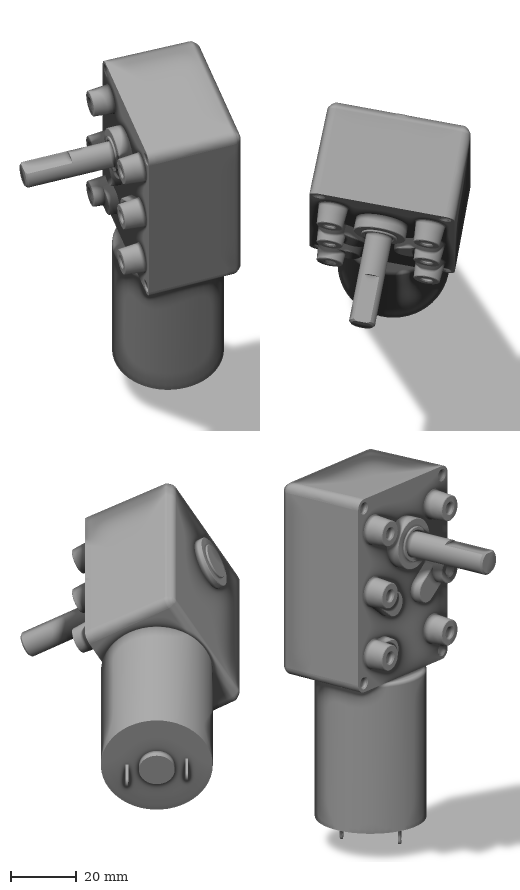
import cadquery as cq
import math


CASE_WIDTH = 45.0
CASE_HEIGHT = 62.0
CASE_DEPTH = 30.1
CASE_CORNER = 3.0
CASE_RIM_DEPTH = 2.1
CASE_DRAFT = 0.4
REAR_CHAMFER_DEPTH = 2.1
REAR_CHAMFER_INSET = 1.7
REAR_EDGE_ROUND = 2.1
REAR_WALL_ROUND = 1.4
CASE_TOP = 18.8
CASE_BOTTOM = CASE_TOP - CASE_HEIGHT
CASE_MID_Z = (CASE_TOP + CASE_BOTTOM) / 2

SCREW_INSET = 3.0
SCREW_COUNTERSINK_DIAMETER = 3.9
SCREW_MOUTH_DIAMETER = 3.2
SCREW_END_DIAMETER = 2.5
SCREW_DEPTH = 5.9

COUNTERSINK_DEPTH = 0.4

POST_BASE_DIAMETER = 9.1
POST_TIP_DIAMETER = 8.0
POST_HEIGHT = 6.5
POST_SKIRT = 0.2
POST_HOLE_DIAMETER = 3.4
POST_HOLE_DEPTH = POST_HEIGHT
POST_COUNTERSINK_DIAMETER = 4.2
POST_X = 15.0
POST_PITCH_Z = 20.0
POST_TOP_Z = 7.8
POST_ROWS_Z = [POST_TOP_Z - row * POST_PITCH_Z for row in range(3)]

EDGE_BREAK = 0.18

RIB_HEIGHT = 3.2
RIB_BASE_DIAMETER = 8.5
RIB_TIP_DIAMETER = 7.8
SLANTED_RIB_RUN = 6.8
SLANTED_RIB_DROP = 5.2
LEVEL_RIB_RUN = 4.8

BOSS_DIAMETER = 16.0
FRONT_BOSS_HEIGHT = 4.2
REAR_BOSS_HEIGHT = 2.4
COLLAR_DIAMETER = 11.0
COLLAR_HEIGHT = 0.6
COLLAR_MOUTH_DIAMETER = 9.1

SHAFT_DIAMETER = 8.0
SHAFT_REACH = 32.9
SHAFT_CHAMFER = 0.6
FLAT_LENGTH = 15.0
FLAT_DEPTH = 1.0

MOTOR_DIAMETER = 34.0
MOTOR_LENGTH = 47.9
MOTOR_TOP_ROUND = 1.1
MOTOR_X = 1.1
MOTOR_Y = CASE_DEPTH - MOTOR_DIAMETER / 2
MOTOR_BOTTOM = CASE_BOTTOM - MOTOR_LENGTH
END_BOSS_DIAMETER = 10.9
END_BOSS_HEIGHT = 2.5

TERMINAL_LENGTH = 8.1
TERMINAL_WIDTH = 2.8
TERMINAL_THICKNESS = 0.8
TERMINAL_HOLE_DIAMETER = 1.3
TERMINAL_HOLE_RISE = 1.7
TERMINAL_OFFSET_X = 3.4
TERMINAL_OFFSET_Y = 8.5
TERMINAL_TURN = 30


def round_bar(x, y, z, start_diameter, end_diameter, length, direction=-1):
    """Round bar along Y, straight or tapered, that starts at the given point."""
    profile = [(0, 0), (start_diameter / 2, 0), (end_diameter / 2, length), (0, length)]
    bar = cq.Workplane("XY").polyline(profile).close().revolve(360, (0, 0), (0, 1))
    if direction < 0:
        bar = bar.mirror("XZ")
    return bar.translate((x, y, z))


def make_case():
    """Box with a straight rim, drafted walls, round corners and a softened chamfer at the rear."""
    drafted_depth = CASE_DEPTH - CASE_RIM_DEPTH
    taper = math.degrees(math.atan(CASE_DRAFT / drafted_depth))
    outline = cq.Sketch().rect(CASE_WIDTH, CASE_HEIGHT).vertices().fillet(CASE_CORNER)
    rim = (
        cq.Workplane("XZ", origin=(0, 0, CASE_MID_Z))
        .placeSketch(outline)
        .extrude(-CASE_RIM_DEPTH)
    )
    walls = (
        cq.Workplane("XZ", origin=(0, CASE_RIM_DEPTH, CASE_MID_Z))
        .placeSketch(outline)
        .extrude(-drafted_depth, taper=taper)
    )
    rear_edges = walls.faces(">Y").edges().vals()
    walls = cq.Workplane(walls.val().chamfer(REAR_CHAMFER_DEPTH, REAR_CHAMFER_INSET, rear_edges))
    wall_edge_y = CASE_DEPTH - REAR_CHAMFER_DEPTH
    slab_half = REAR_CHAMFER_DEPTH / 4
    wall_edge_zone = cq.selectors.BoxSelector(
        (-CASE_WIDTH, wall_edge_y - slab_half, -CASE_HEIGHT),
        (CASE_WIDTH, wall_edge_y + slab_half, CASE_HEIGHT),
    )
    walls = walls.edges(wall_edge_zone).fillet(REAR_WALL_ROUND)
    walls = walls.faces(">Y").edges().fillet(REAR_EDGE_ROUND)
    return rim.union(walls)


def cut_hole(case, x, y, z, countersink_diameter, mouth_diameter, end_diameter, depth):
    """Blind hole along +Y, straight or tapered, with a shallow countersink at its mouth."""
    hole = round_bar(x, y, z, mouth_diameter, end_diameter, depth, direction=1)
    countersink = round_bar(x, y, z, countersink_diameter, mouth_diameter, COUNTERSINK_DEPTH, direction=1)
    return case.cut(hole).cut(countersink)


def cut_screw_holes(case):
    hole_x = CASE_WIDTH / 2 - SCREW_INSET
    for x in (-hole_x, hole_x):
        for z in (CASE_BOTTOM + SCREW_INSET, CASE_TOP - SCREW_INSET):
            case = cut_hole(
                case, x, 0, z,
                SCREW_COUNTERSINK_DIAMETER, SCREW_MOUTH_DIAMETER, SCREW_END_DIAMETER, SCREW_DEPTH,
            )
    return case


def make_rib(x, z, run, drop):
    """Tapered round-ended rib from the post at (x, z) to a point run across and drop below it."""
    length = math.hypot(run, drop)
    taper = math.degrees(math.atan((RIB_BASE_DIAMETER - RIB_TIP_DIAMETER) / 2 / RIB_HEIGHT))
    rib = (
        cq.Workplane("XZ")
        .center(length / 2, 0)
        .slot2D(length + RIB_BASE_DIAMETER, RIB_BASE_DIAMETER)
        .extrude(RIB_HEIGHT, taper=taper)
        .faces("<Y")
        .chamfer(EDGE_BREAK)
    )
    slope = math.degrees(math.atan2(drop, run))
    return rib.rotate((0, 0, 0), (0, 1, 0), slope).translate((x, 0, z))


def make_post(x, z):
    """Tapered post with a chamfered tip and a small conical skirt around its foot."""
    post = round_bar(x, 0, z, POST_BASE_DIAMETER, POST_TIP_DIAMETER, POST_HEIGHT)
    post = post.faces("<Y").chamfer(EDGE_BREAK)
    skirt_start = POST_BASE_DIAMETER + 2 * POST_SKIRT
    skirt_end = POST_BASE_DIAMETER - 2 * POST_SKIRT
    skirt = round_bar(x, 0, z, skirt_start, skirt_end, 2 * POST_SKIRT)
    return post.union(skirt)


def add_posts_and_ribs(case):
    middle_z, bottom_z = POST_ROWS_Z[1:]
    case = case.union(make_rib(-POST_X, middle_z, SLANTED_RIB_RUN, SLANTED_RIB_DROP))
    case = case.union(make_rib(POST_X, middle_z, -SLANTED_RIB_RUN, SLANTED_RIB_DROP))
    case = case.union(make_rib(-POST_X, bottom_z, LEVEL_RIB_RUN, 0))
    for x in (-POST_X, POST_X):
        for z in POST_ROWS_Z:
            case = case.union(make_post(x, z))
            case = cut_hole(
                case, x, -POST_HEIGHT, z,
                POST_COUNTERSINK_DIAMETER, POST_HOLE_DIAMETER, POST_HOLE_DIAMETER, POST_HOLE_DEPTH,
            )
    return case


def add_bearing(case, face_y, boss_height, direction):
    """Boss and collar on the case face at face_y, both with chamfered outer ends."""
    boss_end = face_y + direction * boss_height
    outer_end = ">Y" if direction > 0 else "<Y"
    boss = round_bar(0, face_y, 0, BOSS_DIAMETER, BOSS_DIAMETER, boss_height, direction)
    collar = round_bar(0, boss_end, 0, COLLAR_DIAMETER, COLLAR_DIAMETER, COLLAR_HEIGHT, direction)
    case = case.union(boss.faces(outer_end).chamfer(EDGE_BREAK))
    return case.union(collar.faces(outer_end).chamfer(EDGE_BREAK))


def countersink_front_collar(case):
    """45 degree countersink in the front collar, down to the shaft surface."""
    depth = (COLLAR_MOUTH_DIAMETER - SHAFT_DIAMETER) / 2
    collar_end = -FRONT_BOSS_HEIGHT - COLLAR_HEIGHT
    return case.cut(
        round_bar(0, collar_end, 0, COLLAR_MOUTH_DIAMETER, SHAFT_DIAMETER, depth, direction=1)
    )


def make_shaft():
    """Output shaft with a chamfered tip and a flat on its upper side."""
    shaft = round_bar(0, 0, 0, SHAFT_DIAMETER, SHAFT_DIAMETER, SHAFT_REACH)
    shaft = shaft.faces("<Y").chamfer(SHAFT_CHAMFER)
    flat_cut = cq.Workplane("XY").box(
        SHAFT_DIAMETER, FLAT_LENGTH, FLAT_DEPTH, centered=(True, False, False)
    )
    return shaft.cut(flat_cut.translate((0, -SHAFT_REACH, SHAFT_DIAMETER / 2 - FLAT_DEPTH)))


def make_gearbox():
    gearbox = cut_screw_holes(make_case())
    gearbox = add_posts_and_ribs(gearbox)
    gearbox = add_bearing(gearbox, 0, FRONT_BOSS_HEIGHT, -1)
    gearbox = add_bearing(gearbox, CASE_DEPTH, REAR_BOSS_HEIGHT, 1)
    gearbox = countersink_front_collar(gearbox)
    return gearbox.union(make_shaft())


def make_terminal(x, y):
    """Drilled terminal that hangs from the lower end of the motor."""
    blade_height = TERMINAL_LENGTH - TERMINAL_WIDTH / 2
    terminal = (
        cq.Workplane("XZ")
        .moveTo(-TERMINAL_WIDTH / 2, 0)
        .vLine(-blade_height)
        .threePointArc((0, -TERMINAL_LENGTH), (TERMINAL_WIDTH / 2, -blade_height))
        .vLine(blade_height)
        .close()
        .extrude(TERMINAL_THICKNESS / 2, both=True)
    )
    hole = (
        cq.Workplane("XZ", origin=(0, 0, TERMINAL_HOLE_RISE - TERMINAL_LENGTH))
        .circle(TERMINAL_HOLE_DIAMETER / 2)
        .extrude(TERMINAL_THICKNESS, both=True)
    )
    terminal = terminal.cut(hole)
    return terminal.rotate((0, 0, 0), (0, 0, 1), TERMINAL_TURN).translate((x, y, MOTOR_BOTTOM))


def make_motor():
    """Motor can with a rounded top rim, an end boss and two terminals."""
    motor = (
        cq.Workplane("XY", origin=(MOTOR_X, MOTOR_Y, MOTOR_BOTTOM))
        .circle(MOTOR_DIAMETER / 2)
        .extrude(MOTOR_LENGTH)
        .faces(">Z")
        .edges()
        .fillet(MOTOR_TOP_ROUND)
    )
    end_boss = (
        cq.Workplane("XY", origin=(MOTOR_X, MOTOR_Y, MOTOR_BOTTOM))
        .circle(END_BOSS_DIAMETER / 2)
        .extrude(-END_BOSS_HEIGHT)
    )
    motor = motor.union(end_boss)
    for side in (-1, 1):
        motor = motor.union(
            make_terminal(MOTOR_X + side * TERMINAL_OFFSET_X, MOTOR_Y - side * TERMINAL_OFFSET_Y)
        )
    return motor


gearbox = make_gearbox()
motor = make_motor()

result = cq.Compound.makeCompound([gearbox.val(), motor.val()])